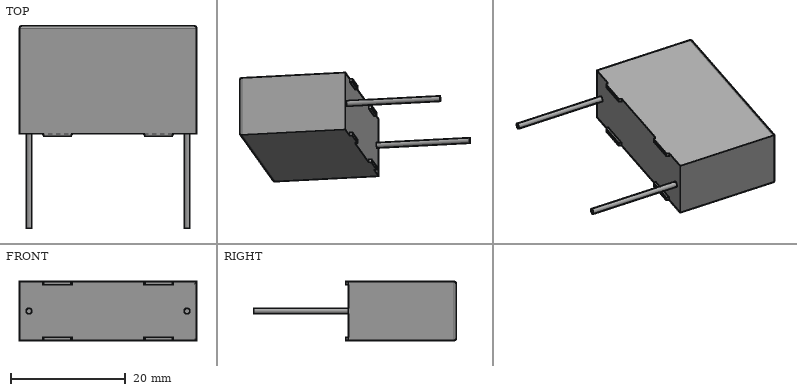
import cadquery as cq

overall_length = 35.3
case_width = 30.8
case_height = 10.3
case_depth = 18.8
back_edge_radius = 0.5

tab_spacing = 17.58
tab_base_width = 5.12
tab_tip_width = 4.7
tab_thickness = 0.6
tab_projection = 0.45

lead_pitch = 27.5
lead_diameter = 1.0

back_y = overall_length / 2
lead_face_y = back_y - case_depth
lead_length = overall_length - case_depth


def make_tab(center_x, bottom_z):
    """Tapered tab that stands on the lead face."""
    tip_y = lead_face_y - tab_projection
    return (
        cq.Workplane("XY", origin=(center_x, 0, bottom_z))
        .moveTo(-tab_base_width / 2, lead_face_y)
        .lineTo(-tab_tip_width / 2, tip_y)
        .lineTo(tab_tip_width / 2, tip_y)
        .lineTo(tab_base_width / 2, lead_face_y)
        .close()
        .extrude(tab_thickness)
    )


def make_case():
    """Block with rounded edges around its back face and four stand-off tabs."""
    case = (
        cq.Workplane("XY")
        .box(case_width, case_depth, case_height)
        .translate((0, back_y - case_depth / 2, 0))
        .faces(">Y")
        .edges()
        .fillet(back_edge_radius)
    )
    for center_x in (-tab_spacing / 2, tab_spacing / 2):
        for bottom_z in (-case_height / 2, case_height / 2 - tab_thickness):
            case = case.union(make_tab(center_x, bottom_z))
    return case


def make_lead(center_x):
    """Straight round wire that ends against the lead face."""
    return (
        cq.Workplane("XZ", origin=(center_x, lead_face_y, 0))
        .circle(lead_diameter / 2)
        .extrude(lead_length)
    )


case = make_case()
leads = [make_lead(center_x) for center_x in (-lead_pitch / 2, lead_pitch / 2)]

result = cq.Compound.makeCompound([case.val(), *[lead.val() for lead in leads]])